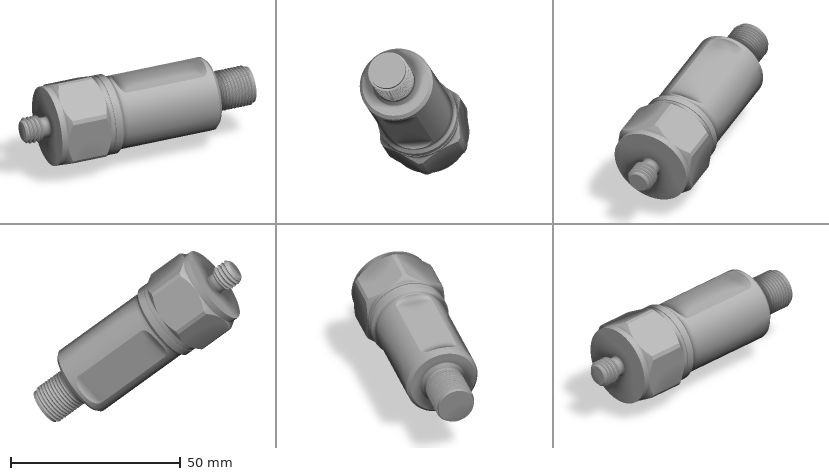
import cadquery as cq
import math


OVERALL_LENGTH = 72.5

STUD_LENGTH = 8.0
NECK_RADIUS = 3.0
NECK_FILLET = 0.35
STUD_THREAD_RADIUS = 4.0
STUD_PITCH = STUD_THREAD_RADIUS * 5 / 16
STUD_THREAD_START = -2.0
STUD_TIP_RADIUS = 3.0
STUD_RUN_IN = 0.95

HEX_ACROSS_FLATS = 24.0
HEX_ACROSS_CORNERS = 27.0
COLLAR_RADIUS = HEX_ACROSS_FLATS / 2
HEX_START = 1.95
HEX_END = 15.7
GROOVE_START = 16.8
GROOVE_WIDTH = 0.4
GROOVE_DEPTH = 0.2
COLLAR_END = 19.4

BODY_RADIUS = 11.0
BODY_END = 51.6
BODY_CHAMFER = 0.95
FLAT_HEIGHT = 9.5
FLAT_START = 23.5
FLAT_END = 47.35
FLAT_RUNOUT_RADIUS = 2.5

CONNECTOR_END = OVERALL_LENGTH - STUD_LENGTH
CONNECTOR_RADIUS = 6.0
CONNECTOR_PITCH = CONNECTOR_RADIUS / 6
CONNECTOR_CONE = 0.95
CONNECTOR_THREAD_START = 53.9
CONNECTOR_THREAD_END = 63.5
CONNECTOR_RUN_IN = 0.6

FLANK_ANGLE = math.radians(30)
THREAD_DEPTH_RATIO = 5 / 8 * math.cos(FLANK_ANGLE)
CREST_WIDTH_RATIO = 1 / 8
THREAD_OVERLAP = 0.1


def root_radius(major_radius, pitch):
    return major_radius - THREAD_DEPTH_RATIO * pitch


def revolve(points):
    """Turn a closed (radius, y) outline about the Y axis."""
    return cq.Workplane("XY").polyline(points).close().revolve(360, (0, 0, 0), (0, 1, 0))


def thread_ridge(major_radius, pitch, start, end, run_in):
    """Right-handed ridge covering start to end; the helix begins run_in before the start."""
    base_radius = root_radius(major_radius, pitch) - THREAD_OVERLAP
    half_crest = CREST_WIDTH_RATIO * pitch / 2
    half_base = half_crest + (major_radius - base_radius) * math.tan(FLANK_ANGLE)
    helix_start = start - run_in
    helix_length = end - helix_start + pitch
    helix = cq.Wire.makeHelix(pitch, helix_length, base_radius)
    return (
        cq.Workplane("XZ")
        .polyline([
            (base_radius, -half_base),
            (major_radius, -half_crest),
            (major_radius, half_crest),
            (base_radius, half_base),
        ])
        .close()
        .sweep(cq.Workplane(helix), isFrenet=True)
        .rotate((0, 0, 0), (1, 0, 0), -90)
        .translate((0, helix_start, 0))
    )


def make_connector_thread():
    ridge = thread_ridge(
        CONNECTOR_RADIUS,
        CONNECTOR_PITCH,
        CONNECTOR_THREAD_START,
        CONNECTOR_THREAD_END,
        CONNECTOR_RUN_IN,
    )
    clip_radius = CONNECTOR_RADIUS + CONNECTOR_PITCH
    zone = revolve([
        (0, CONNECTOR_THREAD_START),
        (clip_radius, CONNECTOR_THREAD_START),
        (clip_radius, CONNECTOR_THREAD_END),
        (0, CONNECTOR_THREAD_END),
    ])
    return ridge.intersect(zone)


def make_stud():
    """Stud with a necked root and a thread whose two ends taper at 45 degrees."""
    root = root_radius(STUD_THREAD_RADIUS, STUD_PITCH)
    full_root_start = STUD_THREAD_START - (root - NECK_RADIUS)
    full_root_end = -STUD_LENGTH + (root - STUD_TIP_RADIUS)
    core = (
        cq.Workplane("XY")
        .moveTo(0, HEX_START)
        .lineTo(NECK_RADIUS + NECK_FILLET, HEX_START)
        .lineTo(NECK_RADIUS + NECK_FILLET, 0)
        .radiusArc((NECK_RADIUS, -NECK_FILLET), -NECK_FILLET)
        .lineTo(NECK_RADIUS, STUD_THREAD_START)
        .lineTo(root, full_root_start)
        .lineTo(root, full_root_end)
        .lineTo(STUD_TIP_RADIUS, -STUD_LENGTH)
        .lineTo(0, -STUD_LENGTH)
        .close()
        .revolve(360, (0, 0, 0), (0, 1, 0))
    )
    ridge = thread_ridge(
        STUD_THREAD_RADIUS, STUD_PITCH, -STUD_LENGTH, STUD_THREAD_START, STUD_RUN_IN
    )
    inner_radius = root - THREAD_OVERLAP / 2
    taper = STUD_PITCH
    zone = revolve([
        (0, full_root_end),
        (inner_radius, full_root_end),
        (inner_radius + taper, full_root_end + taper),
        (inner_radius + taper, full_root_start - taper),
        (inner_radius, full_root_start),
        (0, full_root_start),
    ])
    return core.union(ridge.intersect(zone))


def make_hex():
    """Hex with its six corners cut flat and both ends chamfered at 45 degrees."""
    length = HEX_END - HEX_START
    plane = cq.Workplane("XZ", origin=(0, HEX_END, 0))
    flats = plane.polygon(6, HEX_ACROSS_FLATS, circumscribed=True).extrude(length)
    corners = plane.polygon(6, HEX_ACROSS_CORNERS, circumscribed=True).extrude(length)
    corners = corners.rotate((0, 0, 0), (0, 1, 0), 30)
    chamfers = revolve([
        (0, HEX_START),
        (COLLAR_RADIUS, HEX_START),
        (COLLAR_RADIUS + length / 2, (HEX_START + HEX_END) / 2),
        (COLLAR_RADIUS, HEX_END),
        (0, HEX_END),
    ])
    return flats.intersect(corners).intersect(chamfers)


def make_housing():
    """Collars, body and connector core as one turned shape."""
    groove_end = GROOVE_START + GROOVE_WIDTH
    groove_radius = COLLAR_RADIUS - GROOVE_DEPTH
    connector_root = root_radius(CONNECTOR_RADIUS, CONNECTOR_PITCH)
    return revolve([
        (0, 0),
        (COLLAR_RADIUS, 0),
        (COLLAR_RADIUS, GROOVE_START),
        (groove_radius, GROOVE_START),
        (groove_radius, groove_end),
        (COLLAR_RADIUS, groove_end),
        (COLLAR_RADIUS, COLLAR_END),
        (BODY_RADIUS, COLLAR_END + COLLAR_RADIUS - BODY_RADIUS),
        (BODY_RADIUS, BODY_END - BODY_CHAMFER),
        (BODY_RADIUS - BODY_CHAMFER, BODY_END),
        (CONNECTOR_RADIUS + CONNECTOR_CONE, BODY_END),
        (CONNECTOR_RADIUS, BODY_END + CONNECTOR_CONE),
        (CONNECTOR_RADIUS, CONNECTOR_THREAD_START),
        (connector_root, CONNECTOR_THREAD_START),
        (connector_root, CONNECTOR_END),
        (0, CONNECTOR_END),
    ])


def make_flat_cutter():
    """Cutter for the top flat: its floor runs out through an arc at each end."""
    rise = FLAT_RUNOUT_RADIUS
    return (
        cq.Workplane("YZ", origin=(-BODY_RADIUS, 0, 0))
        .moveTo(FLAT_START, FLAT_HEIGHT)
        .lineTo(FLAT_END, FLAT_HEIGHT)
        .radiusArc((FLAT_END + rise, FLAT_HEIGHT + rise), -rise)
        .lineTo(FLAT_START - rise, FLAT_HEIGHT + rise)
        .radiusArc((FLAT_START, FLAT_HEIGHT), -rise)
        .close()
        .extrude(2 * BODY_RADIUS)
    )


top_cutter = make_flat_cutter()
bottom_cutter = top_cutter.mirror("XY")
housing = make_housing().cut(top_cutter).cut(bottom_cutter)
result = housing.union(make_hex()).union(make_connector_thread()).union(make_stud()).solids()